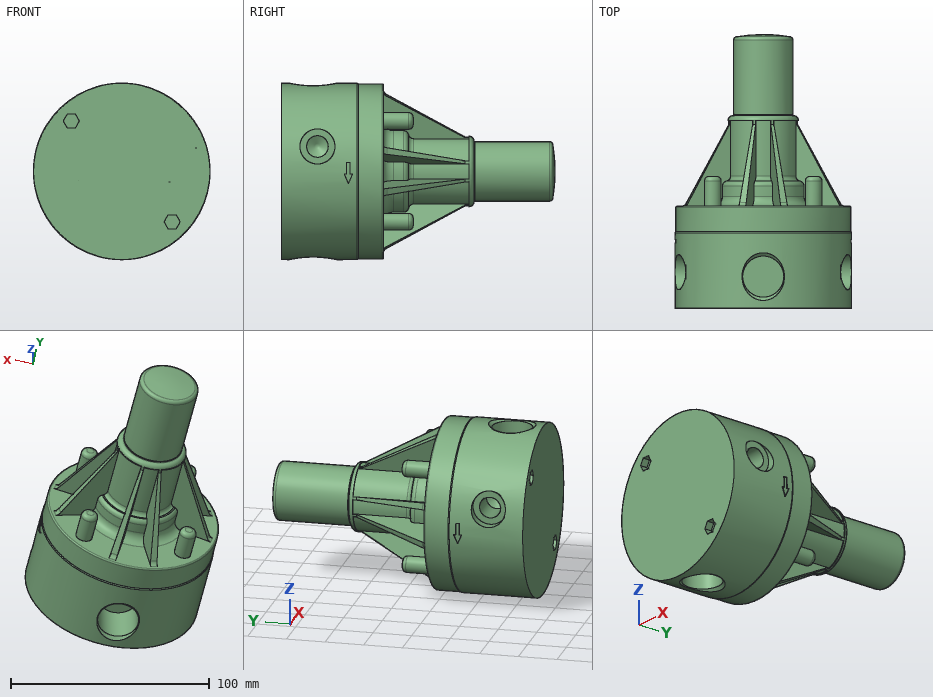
import cadquery as cq
import math

body_length = 38.0
flange_start = 38.7
flange_end = 51.4
boss_end = 64.1
neck_start = 66.5
collar_start = 94.4
collar_end = 97.0
groove_end = 97.5
shaft_rounding_start = 134.9
dome_start = 136.7
total_length = 137.8

body_radius = 88.9 / 2
flange_radius = 44.1
boss_radius = 21.5
neck_radius = 17.2
collar_radius = 35.5 / 2
shaft_radius = 30.0 / 2
groove_radius = 14.6

flange_rounding = 0.7
boss_foot_fillet = 5.0
boss_rounding = 2.6
neck_fillet = neck_start - boss_end
collar_rounding = collar_end - collar_start
shaft_rounding = dome_start - shaft_rounding_start

rib_wedge_angle = 5.0
rib_half_pitch = 15.0
rib_top = 92.5
rib_toe_radius = 39.5
rib_toe_height = 1.8
rib_toe_end_radius = 42.7
rib_toe_sag = 0.3
rib_root_overlap = 2.0

pin_offset = 25.4
pin_diameter = 8.4
pin_end = 66.4
pin_rounding = 2.3
hex_across_flats = 7.0
hex_depth = 4.1

main_port_y = 16.0
main_port_diameter = 20.7
main_port_depth = 20.7
main_port_rim_radius = 12.0
countersink_half_angle = 45

side_port_y = 18.2
side_port_z = 12.5
side_recess_diameter = 17.6
side_recess_depth = 5.5
side_drill_diameter = 10.9
side_drill_end_depth = 20.7
drill_point_angle = 118.0

arrow_y = 33.8
arrow_tail_z = 4.5
arrow_neck_z = -1.4
arrow_tip_z = -6.0
arrow_shaft_width = 1.8
arrow_head_width = 4.1
arrow_depth = 0.4


def arc_point(arc_centre, radius, angle):
    """Point on an arc, with the angle in degrees from the outward radial direction."""
    centre_r, centre_y = arc_centre
    turn = math.radians(angle)
    return (centre_r + radius * math.cos(turn), centre_y + radius * math.sin(turn))


def make_turned_shape():
    foot_centre = (boss_radius + boss_foot_fillet, flange_end + boss_foot_fillet)
    boss_centre = (boss_radius - boss_rounding, boss_end - boss_rounding)
    neck_centre = (neck_radius + neck_fillet, neck_start)
    collar_centre = (collar_radius - collar_rounding, collar_start)
    shaft_centre = (shaft_radius - shaft_rounding, shaft_rounding_start)
    flange_centre = (flange_radius - flange_rounding, flange_end - flange_rounding)
    dome_edge_radius = shaft_centre[0]
    dome_rise = total_length - dome_start
    dome_radius = (dome_edge_radius**2 + dome_rise**2) / (2 * dome_rise)
    dome_mid_r = dome_edge_radius / 2
    dome_mid_y = total_length - dome_radius + math.sqrt(dome_radius**2 - dome_mid_r**2)
    profile = (
        cq.Workplane("XY")
        .moveTo(0, 0)
        .lineTo(body_radius, 0)
        .lineTo(body_radius, body_length)
        .lineTo(flange_radius, flange_start)
        .lineTo(flange_radius, flange_centre[1])
        .threePointArc(arc_point(flange_centre, flange_rounding, 45), (flange_centre[0], flange_end))
        .lineTo(foot_centre[0], flange_end)
        .threePointArc(arc_point(foot_centre, boss_foot_fillet, 225), (boss_radius, foot_centre[1]))
        .lineTo(boss_radius, boss_centre[1])
        .threePointArc(arc_point(boss_centre, boss_rounding, 45), (boss_centre[0], boss_end))
        .lineTo(neck_centre[0], boss_end)
        .threePointArc(arc_point(neck_centre, neck_fillet, 225), (neck_radius, neck_start))
        .lineTo(neck_radius, collar_start)
        .lineTo(collar_radius, collar_start)
        .threePointArc(arc_point(collar_centre, collar_rounding, 45), (collar_centre[0], collar_end))
        .lineTo(groove_radius, collar_end)
        .lineTo(groove_radius, groove_end)
        .lineTo(shaft_radius, groove_end)
        .lineTo(shaft_radius, shaft_rounding_start)
        .threePointArc(arc_point(shaft_centre, shaft_rounding, 45), (shaft_centre[0], dome_start))
        .threePointArc((dome_mid_r, dome_mid_y), (0, total_length))
        .close()
    )
    return profile.revolve(360, (0, 0, 0), (0, 1, 0))


def make_rib(angle):
    """One rib: a thin sector about the Y axis, centred on the given angle."""
    root_radius = neck_radius - rib_root_overlap
    toe_start = flange_end + rib_toe_height
    toe_width = rib_toe_end_radius - rib_toe_radius
    toe_mid = (rib_toe_radius + rib_toe_sag * toe_width, flange_end + rib_toe_sag * rib_toe_height)
    sector = (
        cq.Workplane("XY")
        .moveTo(root_radius, flange_end - flange_rounding)
        .lineTo(rib_toe_end_radius, flange_end - flange_rounding)
        .lineTo(rib_toe_end_radius, flange_end)
        .threePointArc(toe_mid, (rib_toe_radius, toe_start))
        .lineTo(collar_radius, rib_top)
        .lineTo(collar_radius, collar_start)
        .lineTo(root_radius, collar_start)
        .close()
        .revolve(rib_wedge_angle, (0, 0, 0), (0, 1, 0))
    )
    return sector.rotate((0, 0, 0), (0, 1, 0), angle - rib_wedge_angle / 2)


def make_pin(x, z):
    length = pin_end - body_length
    pin = cq.Workplane("XY").circle(pin_diameter / 2).extrude(length)
    pin = pin.faces(">Z").edges().fillet(pin_rounding)
    return pin.rotate((0, 0, 0), (1, 0, 0), -90).translate((x, body_length, z))


def make_hex_socket(x, z):
    across_corners = hex_across_flats / math.cos(math.radians(30))
    plane = cq.Plane(origin=(x, 0, z), xDir=(1, 0, 0), normal=(0, 1, 0))
    return cq.Workplane(plane).polygon(6, across_corners).extrude(hex_depth)


def make_main_port(side):
    """Blind bore with a countersink, entering along Z."""
    bore_radius = main_port_diameter / 2
    rim_width = main_port_rim_radius - bore_radius
    countersink_depth = rim_width / math.tan(math.radians(countersink_half_angle))
    plane = cq.Plane(origin=(0, main_port_y, side * body_radius), xDir=(1, 0, 0), normal=(0, 0, -side))
    bore = cq.Workplane(plane).circle(bore_radius).extrude(main_port_depth)
    rim = cq.Workplane(plane).circle(main_port_rim_radius)
    countersink = rim.extrude(countersink_depth, taper=countersink_half_angle)
    return bore.union(countersink)


def make_side_port(side):
    """Counterbored hole with a drill-point bottom, entering along X."""
    drill_radius = side_drill_diameter / 2
    point_length = drill_radius / math.tan(math.radians(drill_point_angle / 2))
    plane = cq.Plane(
        origin=(side * body_radius, side_port_y, side_port_z), xDir=(0, 1, 0), normal=(-side, 0, 0)
    )
    section = (
        cq.Workplane("XY")
        .moveTo(0, 0)
        .lineTo(side_recess_diameter / 2, 0)
        .lineTo(side_recess_diameter / 2, side_recess_depth)
        .lineTo(drill_radius, side_recess_depth)
        .lineTo(drill_radius, side_drill_end_depth)
        .lineTo(0, side_drill_end_depth + point_length)
        .close()
    )
    tool = section.revolve(360, (0, 0, 0), (0, 1, 0)).rotate((0, 0, 0), (1, 0, 0), 90)
    return cq.Workplane(plane).newObject([tool.val().moved(plane.location)])


def make_arrow(side):
    """Shallow arrow that points down, cut into the side of the body."""
    half_shaft = arrow_shaft_width / 2
    half_head = arrow_head_width / 2
    right_half = [(half_shaft, arrow_tail_z), (half_shaft, arrow_neck_z), (half_head, arrow_neck_z)]
    left_half = [(-y, z) for y, z in reversed(right_half)]
    outline = right_half + [(0, arrow_tip_z)] + left_half
    arrow = cq.Workplane("YZ", origin=(0, arrow_y, 0)).polyline(outline).close()
    arrow = arrow.extrude(side * 2 * body_radius)
    core = cq.Workplane("XZ").circle(body_radius - arrow_depth).extrude(-body_length)
    return arrow.cut(core)


result = make_turned_shape()

for axis_angle in range(0, 360, 90):
    for offset in (-rib_half_pitch, rib_half_pitch):
        result = result.union(make_rib(axis_angle + offset))

for x in (-pin_offset, pin_offset):
    for z in (-pin_offset, pin_offset):
        result = result.union(make_pin(x, z))

for x in (-pin_offset, pin_offset):
    result = result.cut(make_hex_socket(x, -x))

for side in (-1, 1):
    result = result.cut(make_main_port(side))
    result = result.cut(make_side_port(side))
    result = result.cut(make_arrow(side))